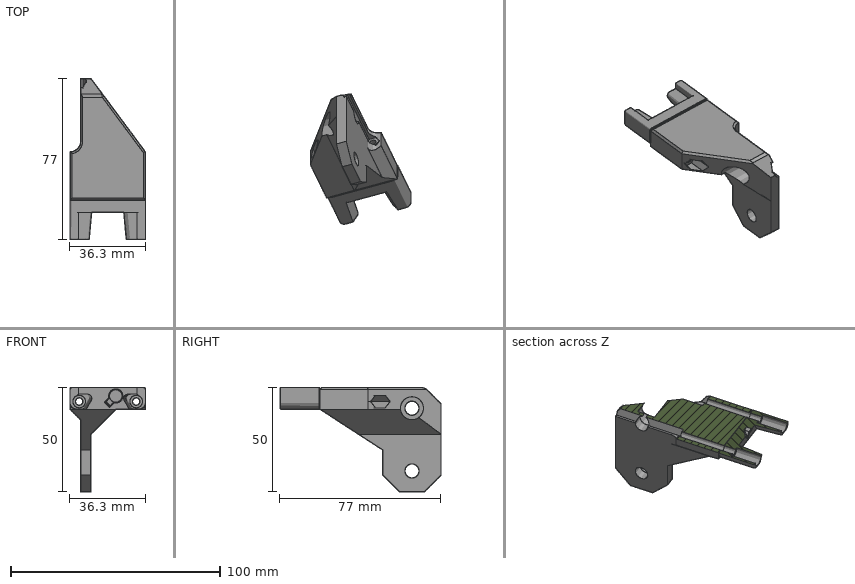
import cadquery as cq
import math


bracket_width = 36.0
overall_length = 77.0
overall_height = 50.0
head_depth = 10.5
joint_y = 19.0
top_chamfer = 1.0

plate_left = -13.0
plate_thickness = 5.0
plate_right = plate_left + plate_thickness
plate_length = 28.0
plate_front = overall_length - plate_length
plate_corner = 8.0
gusset_start = 4.0
slope_end_z = -30.0
back_bevel = 8.0
taper_start_y = 42.0
notch_radius = 5.0

mount_hole_dia = 6.6
mount_hole_y = overall_length - plate_length / 2
mount_hole_heights = (-10.0, -40.0)
mount_head_dia = 11.0

yoke_width = 36.26
yoke_top_round = 1.0
yoke_bottom_round = 3.0
arm_length = 13.0
arm_wall_x = 14.0
arm_wall_round = 0.5
arm_floor_z = -3.3
arm_flank_angle = 60.0
arm_flank_draft = 4.5
arm_flank_round = 2.0
tip_round = 0.5
joint_chamfer = 0.35

screw_edge_distance = 4.5
screw_x = yoke_width / 2 - screw_edge_distance
screw_z = -6.8
screw_dia = 3.4
screw_head_dia = 6.0
nut_width = 6.0
nut_front_y = taper_start_y
hexagon_sides = 6

magnet_x = 3.85
magnet_z = -4.15
magnet_dia = 6.0
magnet_depth = 3.0
seat_chamfer = 0.4
pry_width = 2.75
pry_reach = 5.6
pry_angle = 45.0


def along_y(x, z, start, end):
    """Workplane facing +Y at the given start, and the distance to the end."""
    return cq.Workplane("XZ", origin=(x, start, z)), -(end - start)


def cylinder_y(x, z, diameter, start, end):
    plane, distance = along_y(x, z, start, end)
    return plane.circle(diameter / 2).extrude(distance)


def make_bracket():
    half = bracket_width / 2
    bottom = -overall_height

    section = (
        cq.Workplane("XZ")
        .moveTo(-half, 0)
        .lineTo(half, 0)
        .lineTo(half, -head_depth)
        .lineTo(gusset_start, -head_depth)
        .lineTo(plate_right, -head_depth - (gusset_start - plate_right))
        .lineTo(plate_right, bottom)
        .lineTo(plate_left, bottom)
        .lineTo(plate_left, -head_depth - (plate_left + half))
        .lineTo(-half, -head_depth)
        .close()
        .extrude(-overall_length)
    )
    side = (
        cq.Workplane("YZ", origin=(-half, 0, 0))
        .moveTo(joint_y, 0)
        .lineTo(overall_length - back_bevel, 0)
        .lineTo(overall_length, -back_bevel)
        .lineTo(overall_length, bottom + plate_corner)
        .lineTo(overall_length - plate_corner, bottom)
        .lineTo(plate_front + plate_corner, bottom)
        .lineTo(plate_front, bottom + plate_corner)
        .lineTo(plate_front, slope_end_z)
        .lineTo(joint_y, -head_depth)
        .close()
        .extrude(bracket_width)
    )
    notch_end_y = taper_start_y + notch_radius
    notch_middle = notch_radius * math.sqrt(0.5)
    plan = (
        cq.Workplane("XY", origin=(0, 0, bottom))
        .moveTo(-half, joint_y)
        .lineTo(half, joint_y)
        .lineTo(half, taper_start_y)
        .lineTo(plate_right, overall_length)
        .lineTo(plate_left, overall_length)
        .lineTo(plate_left, notch_end_y)
        .threePointArc((-half + notch_middle, notch_end_y - notch_middle), (-half, taper_start_y))
        .close()
        .extrude(overall_height)
    )
    bracket = section.intersect(side).intersect(plan)
    bracket = bracket.faces(">Z").edges().chamfer(top_chamfer)

    nut_corner_width = nut_width / math.cos(math.pi / hexagon_sides)
    for x in (-screw_x, screw_x):
        bracket = bracket.cut(cylinder_y(x, screw_z, screw_dia, joint_y, overall_length))
        plane, distance = along_y(x, screw_z, nut_front_y, overall_length)
        nut_channel = plane.polygon(hexagon_sides, nut_corner_width).extrude(distance)
        bracket = bracket.cut(nut_channel)

    for z in mount_hole_heights:
        hole = cq.Workplane("YZ", origin=(plate_left, mount_hole_y, z))
        bracket = bracket.cut(hole.circle(mount_hole_dia / 2).extrude(plate_thickness))
    head_room = cq.Workplane("YZ", origin=(plate_right, mount_hole_y, mount_hole_heights[0]))
    return bracket.cut(head_room.circle(mount_head_dia / 2).extrude(bracket_width))


def flank_cutter_outline(y, inset):
    """Outline between the arms at depth y; each flank is moved towards the middle by inset."""
    slope = math.radians(arm_flank_angle)
    wall = head_depth + screw_z
    flank_distance = (wall + inset) / math.sin(slope)

    def flank_x(z):
        return screw_x - flank_distance - (z - screw_z) / math.tan(slope)

    low_x = flank_x(-head_depth)
    floor_x = flank_x(arm_floor_z)
    points = [(-low_x, -head_depth), (low_x, -head_depth), (floor_x, arm_floor_z), (-floor_x, arm_floor_z)]
    return cq.Wire.makePolygon([cq.Vector(x, y, z) for x, z in points], close=True)


def arm_gap():
    """Space between the arms: drafted flanks below, a wide rectangular window above."""
    draft_inset = arm_length * math.tan(math.radians(arm_flank_draft))
    front = flank_cutter_outline(0, 0)
    back = flank_cutter_outline(arm_length, draft_inset)
    lower = cq.Workplane(cq.Solid.makeLoft([front, back], True))
    upper = (
        cq.Workplane("XY", origin=(0, 0, arm_floor_z))
        .rect(2 * arm_wall_x, 2 * arm_length)
        .extrude(-arm_floor_z)
    )
    return lower.union(upper)


def arm_edges(reach, z):
    """Selects edges at height z, within reach of the middle, that run along the arms."""
    margin = 0.1
    return cq.selectors.BoxSelector(
        (-reach - margin, margin, z - margin), (reach + margin, arm_length - margin, z + margin)
    )


def magnet_seat():
    """Round blind seat with a sloped slot at its lower left for prying the magnet out."""
    face = cq.Workplane("XZ", origin=(magnet_x, arm_length, magnet_z))
    seat = face.circle(magnet_dia / 2).extrude(-magnet_depth)
    rim = face.circle(magnet_dia / 2 + seat_chamfer).workplane(offset=-seat_chamfer)
    rim = rim.circle(magnet_dia / 2).loft()
    ramp_foot = -(pry_reach - magnet_depth)
    ramp = (
        cq.Workplane("XY")
        .polyline([(-pry_reach, 0), (0, 0), (0, magnet_depth), (ramp_foot, magnet_depth)])
        .close()
        .extrude(pry_width / 2, both=True)
    )
    slot_rim = (
        cq.Workplane("XZ", origin=(-pry_reach / 2, 0, 0))
        .rect(pry_reach + 2 * seat_chamfer, pry_width + 2 * seat_chamfer)
        .workplane(offset=-seat_chamfer)
        .rect(pry_reach, pry_width)
        .loft()
    )
    slot = ramp.union(slot_rim).rotate((0, 0, 0), (0, 1, 0), -pry_angle)
    slot = slot.translate((magnet_x, arm_length, magnet_z))
    return seat.union(rim).union(slot)


def make_yoke():
    yoke = (
        cq.Workplane("XZ", origin=(0, 0, -head_depth / 2))
        .rect(yoke_width, head_depth)
        .extrude(-joint_y)
    )
    yoke = yoke.edges("|Y and >Z").fillet(yoke_top_round)
    yoke = yoke.edges("|Y and <Z").fillet(yoke_bottom_round)
    yoke = yoke.faces(">Y").edges().chamfer(joint_chamfer)
    yoke = yoke.cut(arm_gap())

    yoke = yoke.edges(arm_edges(screw_x, arm_floor_z)).fillet(arm_flank_round)
    yoke = yoke.edges(arm_edges(arm_wall_x, 0)).fillet(arm_wall_round)
    yoke = yoke.faces("<Y").edges().fillet(tip_round)

    for x in (-screw_x, screw_x):
        yoke = yoke.cut(cylinder_y(x, screw_z, screw_dia, 0, joint_y))
        yoke = yoke.cut(cylinder_y(x, screw_z, screw_head_dia, 0, arm_length))
    return yoke.cut(magnet_seat())


bracket = make_bracket()
yoke = make_yoke()
result = cq.Compound.makeCompound([bracket.solids().val(), yoke.solids().val()])